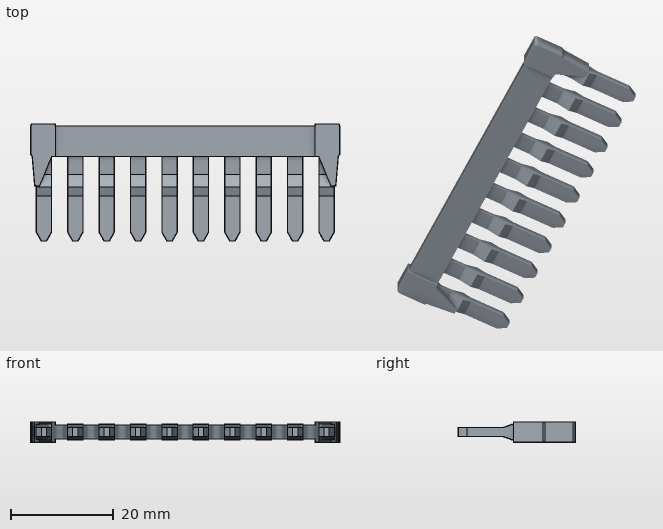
import cadquery as cq
overall_width = 60.1
overall_depth = 22.78

bar_thickness = 2.75
bar_back = -0.4
bar_front = -6.35

cap_thickness = 4.0
cap_width = 4.85
cap_depth = 12.05
cap_corner_width = 0.2
cap_corner_depth = 0.46
cap_shoulder_start = -5.9
cap_shoulder_width = 0.3
cap_shoulder_depth = 0.41
cap_nose_outset = 0.8
cap_nose_width = 0.95

finger_count = 10
finger_pitch = 6.1
finger_width = 3.0
blade_thickness = 1.8
root_thickness = 1.2
ridge_thickness = 3.05
ramp_start = -9.8
ridge_position = -12.3
ramp_end = -14.0
tip_width = 1.0
tip_length = 1.75

half_width = overall_width / 2
finger_tip = -overall_depth
first_finger_x = -finger_pitch * (finger_count - 1) / 2


def extrude_centred(outline, thickness):
    """Extrude an XY outline equally above and below Z = 0."""
    return cq.Workplane("XY").polyline(outline).close().extrude(thickness / 2, both=True)


def make_bar():
    """Flat bar joining the caps and carrying the fingers."""
    inner_end = half_width - cap_width / 2
    outline = [
        (-inner_end, bar_back),
        (inner_end, bar_back),
        (inner_end, bar_front),
        (-inner_end, bar_front),
    ]
    return extrude_centred(outline, bar_thickness)


def make_right_cap():
    """End cap whose nose tapers over the last finger."""
    inner_side = half_width - cap_width
    last_finger_inner_side = -first_finger_x - finger_width / 2
    nose_outer = half_width - cap_nose_outset
    outline = [
        (inner_side, 0),
        (half_width - cap_corner_width, 0),
        (half_width, -cap_corner_depth),
        (half_width, cap_shoulder_start),
        (half_width - cap_shoulder_width, cap_shoulder_start - cap_shoulder_depth),
        (nose_outer, -cap_depth),
        (nose_outer - cap_nose_width, -cap_depth),
        (last_finger_inner_side, bar_front),
        (inner_side, bar_front),
    ]
    return extrude_centred(outline, cap_thickness)


def make_finger(x):
    """Thin blade with a ridge on both faces and a pointed tip."""
    root = (bar_back + bar_front) / 2
    upper_edge = [
        (root, root_thickness / 2),
        (ramp_start, root_thickness / 2),
        (ridge_position, ridge_thickness / 2),
        (ramp_end, blade_thickness / 2),
        (finger_tip, blade_thickness / 2),
    ]
    lower_edge = [(y, -z) for y, z in reversed(upper_edge)]
    side_profile = (
        cq.Workplane("YZ")
        .polyline(upper_edge + lower_edge)
        .close()
        .extrude(finger_width / 2, both=True)
    )
    plan_outline = [
        (-finger_width / 2, root),
        (finger_width / 2, root),
        (finger_width / 2, finger_tip + tip_length),
        (tip_width / 2, finger_tip),
        (-tip_width / 2, finger_tip),
        (-finger_width / 2, finger_tip + tip_length),
    ]
    plan = extrude_centred(plan_outline, ridge_thickness)
    return side_profile.intersect(plan).translate((x, 0, 0))


right_cap = make_right_cap()
left_cap = right_cap.mirror("YZ")

result = make_bar().union(right_cap).union(left_cap)
for index in range(finger_count):
    result = result.union(make_finger(first_finger_x + index * finger_pitch))